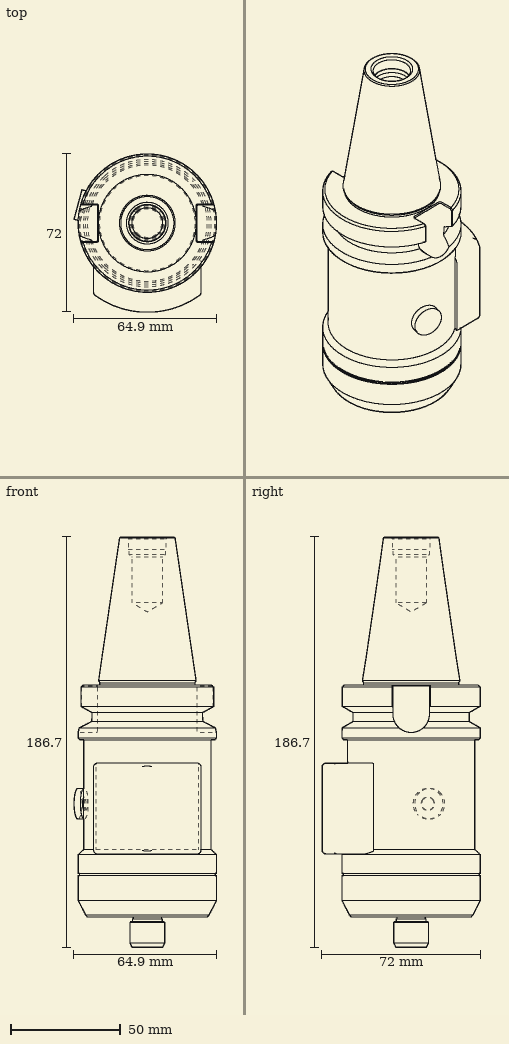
import cadquery as cq
import math


OVERALL_LENGTH = 186.7

GAUGE_DIA = 44.45
TAPER_RATE = 7 / 24
TAPER_LENGTH = 65.4
TAPER_EDGE = 0.6
NECK_DIA = 43.4
NECK_BEVEL = 1.0

FLANGE_DIA = 63.0
FLANGE_TOP_Z = -2.0
FLANGE_BOTTOM_Z = -27.0
FLANGE_TOP_CHAMFER = 1.0
FLANGE_BOTTOM_CHAMFER = 0.8
GROOVE_DIA = 53.0
GROOVE_CENTRE_Z = -16.6
GROOVE_FLOOR_WIDTH = 4.0
GROOVE_FLANK_ANGLE = 30.0

BODY_DIA = 58.0
BODY_BOTTOM_Z = -76.8
COLLAR_TOP_Z = -79.2
COLLAR_DIA = FLANGE_DIA
COLLAR_BOTTOM_Z = -87.7
JOINT_WIDTH = 1.0
JOINT_DEPTH = 0.5
RING_CONE_Z = -100.0
RING_BOTTOM_Z = -107.6
RING_END_DIA = 54.4
RING_EDGE = 0.9

STUD_DIA = 16.0
STUD_NECK_DIA = 13.0
STUD_SHOULDER_DIA = 13.7
STUD_SHOULDER_Z = -108.4
STUD_TOP_Z = -109.5
STUD_TOP_CHAMFER = 0.6
STUD_END_Z = TAPER_LENGTH - OVERALL_LENGTH
STUD_END_DIA = 14.0
STUD_CONE_HEIGHT = 2.0

COUNTERBORE_DIA = 17.0
COUNTERBORE_DEPTH = 5.9
COUNTERBORE_CHAMFER = 1.0
RELIEF_DIA = 16.6
RELIEF_DEPTH = 8.0
THREAD_DIA = 14.0
THREAD_DEPTH = 30.0
DRILL_POINT_ANGLE = 118.0

SLOT_WIDTH = 16.6
SLOT_FLOOR_X = 22.6
SLOT_BOTTOM_Z = -23.6
SLOT_FLOOR_FILLET = 0.6
SLOT_EDGE_CHAMFER = 0.5

BLOCK_WIDTH = 49.0
BLOCK_FRONT_Y = -40.5
BLOCK_FLAT_WIDTH = 5.6
BLOCK_BACK_Y = -17.2
BLOCK_TOP_Z = -37.5
BLOCK_BOTTOM_Z = -78.9
BLOCK_FILLET = 2.0

BUTTON_DIA = 14.0
BUTTON_THICKNESS = 3.0
BUTTON_HUB_DIA = 6.0
BUTTON_REACH = 32.68
BUTTON_ANGLE = 165.0
BUTTON_Z = -56.0


def make_turned_body():
    """Revolve the half section of the taper, flange, body, ring and stud."""
    gauge_r = GAUGE_DIA / 2
    small_r = gauge_r - TAPER_LENGTH * TAPER_RATE / 2
    neck_r = NECK_DIA / 2
    flange_r = FLANGE_DIA / 2
    groove_r = GROOVE_DIA / 2
    groove_half_floor = GROOVE_FLOOR_WIDTH / 2
    flank_rise = (flange_r - groove_r) * math.tan(math.radians(GROOVE_FLANK_ANGLE))
    groove_half_mouth = groove_half_floor + flank_rise
    body_r = BODY_DIA / 2
    collar_r = COLLAR_DIA / 2
    joint_r = collar_r - JOINT_DEPTH
    ring_end_r = RING_END_DIA / 2
    stud_r = STUD_DIA / 2
    stud_neck_r = STUD_NECK_DIA / 2
    stud_shoulder_r = STUD_SHOULDER_DIA / 2

    section = [
        (0, TAPER_LENGTH),
        (small_r - TAPER_EDGE, TAPER_LENGTH),
        (small_r, TAPER_LENGTH - TAPER_EDGE),
        (gauge_r, 0),
        (neck_r, -NECK_BEVEL),
        (neck_r, FLANGE_TOP_Z),
        (flange_r - FLANGE_TOP_CHAMFER, FLANGE_TOP_Z),
        (flange_r, FLANGE_TOP_Z - FLANGE_TOP_CHAMFER),
        (flange_r, GROOVE_CENTRE_Z + groove_half_mouth),
        (groove_r, GROOVE_CENTRE_Z + groove_half_floor),
        (groove_r, GROOVE_CENTRE_Z - groove_half_floor),
        (flange_r, GROOVE_CENTRE_Z - groove_half_mouth),
        (flange_r, FLANGE_BOTTOM_Z + FLANGE_BOTTOM_CHAMFER),
        (flange_r - FLANGE_BOTTOM_CHAMFER, FLANGE_BOTTOM_Z),
        (body_r, FLANGE_BOTTOM_Z),
        (body_r, BODY_BOTTOM_Z),
        (collar_r, COLLAR_TOP_Z),
        (collar_r, COLLAR_BOTTOM_Z),
        (joint_r, COLLAR_BOTTOM_Z),
        (joint_r, COLLAR_BOTTOM_Z - JOINT_WIDTH),
        (collar_r, COLLAR_BOTTOM_Z - JOINT_WIDTH),
        (collar_r, RING_CONE_Z),
        (ring_end_r + RING_EDGE, RING_BOTTOM_Z + RING_EDGE),
        (ring_end_r, RING_BOTTOM_Z),
        (stud_neck_r, RING_BOTTOM_Z),
        (stud_neck_r, STUD_SHOULDER_Z),
        (stud_shoulder_r, STUD_SHOULDER_Z),
        (stud_shoulder_r, STUD_TOP_Z),
        (stud_r - STUD_TOP_CHAMFER, STUD_TOP_Z),
        (stud_r, STUD_TOP_Z - STUD_TOP_CHAMFER),
        (stud_r, STUD_END_Z + STUD_CONE_HEIGHT),
        (STUD_END_DIA / 2, STUD_END_Z),
        (0, STUD_END_Z),
    ]
    return cq.Workplane("XZ").polyline(section).close().revolve(360, (0, 0), (0, 1))


def make_drawbar_bore():
    """Chamfered counterbore, slightly narrower relief, threaded-hole bore and conical drill point."""
    counterbore_r = COUNTERBORE_DIA / 2
    thread_r = THREAD_DIA / 2
    relief_r = RELIEF_DIA / 2
    relief_end_z = TAPER_LENGTH - RELIEF_DEPTH
    shoulder_z = TAPER_LENGTH - COUNTERBORE_DEPTH
    thread_end_z = TAPER_LENGTH - THREAD_DEPTH
    point_depth = thread_r / math.tan(math.radians(DRILL_POINT_ANGLE / 2))
    section = [
        (0, TAPER_LENGTH),
        (counterbore_r + COUNTERBORE_CHAMFER, TAPER_LENGTH),
        (counterbore_r, TAPER_LENGTH - COUNTERBORE_CHAMFER),
        (counterbore_r, shoulder_z),
        (relief_r, shoulder_z),
        (relief_r, relief_end_z),
        (thread_r, relief_end_z - (relief_r - thread_r)),
        (thread_r, thread_end_z),
        (0, thread_end_z - point_depth),
    ]
    return cq.Workplane("XZ").polyline(section).close().revolve(360, (0, 0), (0, 1))


def make_drive_slot():
    """Cutter for the +X drive slot: round lower end, flat floor with a filleted edge."""
    half_width = SLOT_WIDTH / 2
    arc_centre_z = SLOT_BOTTOM_Z + half_width
    above_flange_z = FLANGE_TOP_Z + half_width
    return (
        cq.Workplane("YZ", origin=(SLOT_FLOOR_X, 0, 0))
        .moveTo(-half_width, above_flange_z)
        .lineTo(-half_width, arc_centre_z)
        .threePointArc((0, SLOT_BOTTOM_Z), (half_width, arc_centre_z))
        .lineTo(half_width, above_flange_z)
        .close()
        .extrude(FLANGE_DIA / 2)
        .faces("<X")
        .edges()
        .fillet(SLOT_FLOOR_FILLET)
    )


def make_block():
    """Housing block with a front concentric to the spindle, rounded edges and a narrow flat."""
    half_width = BLOCK_WIDTH / 2
    front_r = math.hypot(BLOCK_FLAT_WIDTH / 2, BLOCK_FRONT_Y)
    corner_y = -math.sqrt(front_r**2 - half_width**2)
    block = (
        cq.Workplane("XY", origin=(0, 0, BLOCK_BOTTOM_Z))
        .moveTo(-half_width, BLOCK_BACK_Y)
        .lineTo(-half_width, corner_y)
        .threePointArc((0, -front_r), (half_width, corner_y))
        .lineTo(half_width, BLOCK_BACK_Y)
        .close()
        .extrude(BLOCK_TOP_Z - BLOCK_BOTTOM_Z)
        .edges("not >Y")
        .fillet(BLOCK_FILLET)
    )
    behind_flat = cq.Workplane("XY", origin=(0, BLOCK_FRONT_Y, BLOCK_BOTTOM_Z)).box(
        BLOCK_WIDTH,
        BLOCK_BACK_Y - BLOCK_FRONT_Y,
        BLOCK_TOP_Z - BLOCK_BOTTOM_Z,
        centered=(True, False, False),
    )
    return block.intersect(behind_flat)


def make_button():
    """Disc held off the body by a hub, facing radially outward."""
    angle = math.radians(BUTTON_ANGLE)
    outward = (math.cos(angle), math.sin(angle), 0)
    plane = cq.Plane(origin=(0, 0, BUTTON_Z), xDir=(0, 0, 1), normal=outward)
    hub = cq.Workplane(plane).circle(BUTTON_HUB_DIA / 2).extrude(BUTTON_REACH)
    disc = (
        cq.Workplane(plane)
        .workplane(offset=BUTTON_REACH - BUTTON_THICKNESS)
        .circle(BUTTON_DIA / 2)
        .extrude(BUTTON_THICKNESS)
    )
    return hub.union(disc)


def chamfer_slot_edges(part):
    """Bevel the slot edges on the top face and rim of the upper flange."""
    margin = SLOT_EDGE_CHAMFER / 2
    inner_x = SLOT_FLOOR_X + SLOT_FLOOR_FILLET + margin
    outer_x = FLANGE_DIA / 2
    half_width = SLOT_WIDTH / 2
    low_z = GROOVE_CENTRE_Z + GROOVE_FLOOR_WIDTH
    slot_edges = part.newObject([])
    for side_x in (-1, 1):
        for side_y in (-1, 1):
            near = (side_x * inner_x, side_y * half_width - margin, low_z)
            far = (side_x * outer_x, side_y * half_width + margin, FLANGE_TOP_Z + margin)
            slot_edges = slot_edges.add(part.edges(cq.selectors.BoxSelector(near, far)))
    return slot_edges.chamfer(SLOT_EDGE_CHAMFER)


drive_slot = make_drive_slot()
slotted_body = make_turned_body().cut(drive_slot).cut(drive_slot.mirror("YZ"))
result = (
    chamfer_slot_edges(slotted_body)
    .cut(make_drawbar_bore())
    .union(make_block())
    .union(make_button())
)